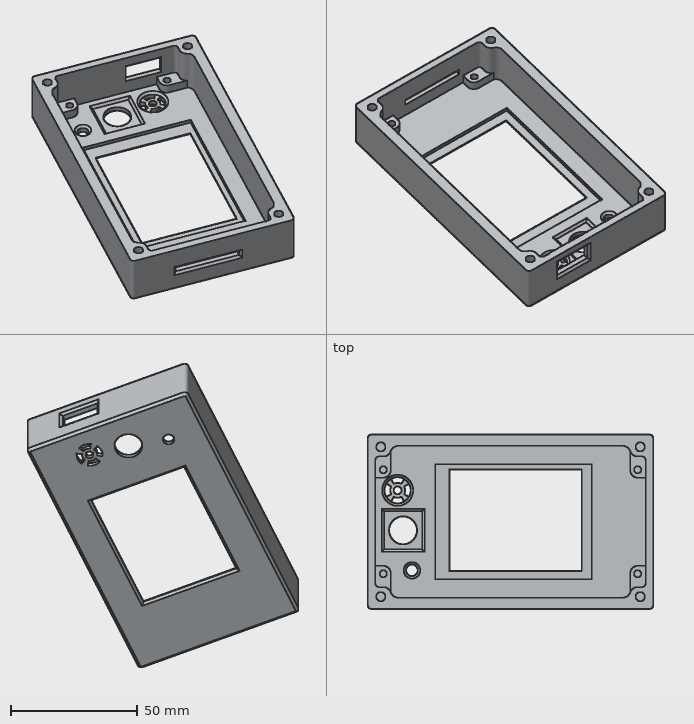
import cadquery as cq
import math

LENGTH = 113.0
WIDTH = 69.0
HEIGHT = 21.7
WALL = 3.0
FLOOR = 3.0
SIDE_WALL = 4.5
CORNER_RADIUS = 1.6
BOTTOM_CHAMFER = 1.1

OPENING_CHAMFER = 1.01
FLARE_BOTTOM = FLOOR - OPENING_CHAMFER

CAVITY_X = LENGTH / 2 - WALL
CAVITY_Y = WIDTH / 2 - SIDE_WALL
POST_STEP = 4.2
POST_Y = CAVITY_Y - POST_STEP
POST_X = 47.3
POST_RADIUS = 3.0
CAVITY_CORNER_RADIUS = 1.5

POST_HOLE_DIAMETER = 3.6
POST_HOLE_X = 51.3
POST_HOLE_Y = 29.6
POST_HOLE_DEPTH = 11.3
STANDOFF_HEIGHT = 4.0
STANDOFF_END_Y = 17.4
STANDOFF_HOLE_DIAMETER = 2.8
STANDOFF_HOLE_X = 50.3
STANDOFF_HOLE_Y = 20.6

SEAT_BOUNDS = (-29.7, 32.1, -22.8, 22.8)
WINDOW_BOUNDS = (-24.1, 28.1, -19.4, 20.6)
SEAT_DEPTH = 1.6

GRILLE_CENTER = (-44.6, 12.4)
GRILLE_DIAMETER = 10.3
GRILLE_HUB_DIAMETER = 6.0
GRILLE_HOLE_DIAMETER = 3.0
GRILLE_SLOT_COUNT = 4
GRILLE_SLOT_ANGLE = 60.0

POCKET_CENTER = (-42.5, -3.4)
POCKET_SIZE = 15.0
POCKET_HOLE_DIAMETER = 11.0

SMALL_HOLE_CENTER = (-39.0, -19.2)
SMALL_HOLE_DIAMETER = 4.5

CONNECTOR_Y = 11.9
CONNECTOR_Z = 13.1
CONNECTOR_WIDTH = 15.0
CONNECTOR_HEIGHT = 8.0
SLOT_Y_MIN = -15.5
SLOT_Y_MAX = 11.3
SLOT_TOP = 11.6
SLOT_HEIGHT = 2.5

SIGNS = [(1, 1), (-1, 1), (-1, -1), (1, -1)]


def box_between(x_min, x_max, y_min, y_max, z_min, z_max):
    size = (x_max - x_min, y_max - y_min, z_max - z_min)
    return cq.Workplane().box(*size, centered=False).translate((x_min, y_min, z_min))


def disc(center, diameter, z_min, z_max):
    base = cq.Workplane().workplane(offset=z_min).center(*center)
    return base.circle(diameter / 2).extrude(z_max - z_min)


def cone_chamfer(center, diameter):
    """45 degree flare of a round opening, widest at the inside of the floor."""
    base = cq.Workplane().workplane(offset=FLOOR).center(*center)
    wide_end = base.circle(diameter / 2 + OPENING_CHAMFER)
    narrow_end = wide_end.workplane(offset=-OPENING_CHAMFER).circle(diameter / 2)
    return narrow_end.loft(ruled=True)


def flared_opening(plane, width, height, depth):
    """Rectangular opening that starts on a plane and ends in a 45 degree flare."""
    flare_width = width + 2 * OPENING_CHAMFER
    flare_height = height + 2 * OPENING_CHAMFER
    straight = plane.rect(width, height).extrude(depth)
    flare = (
        plane.workplane(offset=depth - OPENING_CHAMFER)
        .rect(width, height)
        .workplane(offset=OPENING_CHAMFER)
        .rect(flare_width, flare_height)
        .loft(ruled=True)
    )
    return straight.union(flare)


def shell():
    body = cq.Workplane().box(LENGTH, WIDTH, HEIGHT, centered=(True, True, False))
    body = body.edges("|Z").fillet(CORNER_RADIUS)
    return body.faces("<Z").chamfer(BOTTOM_CHAMFER)


def cavity():
    """Inside of the shell, with an S of two equal tangent arcs at each post."""
    half_step = math.sqrt(POST_RADIUS**2 - (POST_RADIUS - POST_STEP / 2) ** 2)
    mid_y = (CAVITY_Y + POST_Y) / 2
    half_angle = math.atan2(half_step, POST_RADIUS - POST_STEP / 2) / 2
    bow_x = POST_RADIUS * math.sin(half_angle)
    bow_y = POST_RADIUS * (1 - math.cos(half_angle))
    inner_x = POST_X - half_step
    outer_x = POST_X + half_step
    corner_x = CAVITY_X - CAVITY_CORNER_RADIUS
    corner_y = POST_Y - CAVITY_CORNER_RADIUS
    corner_bow = CAVITY_CORNER_RADIUS * math.sqrt(0.5)

    quarter = (
        cq.Workplane()
        .workplane(offset=FLOOR)
        .lineTo(0, CAVITY_Y)
        .lineTo(inner_x, CAVITY_Y)
        .threePointArc((inner_x + bow_x, CAVITY_Y - bow_y), (POST_X, mid_y))
        .threePointArc((outer_x - bow_x, POST_Y + bow_y), (outer_x, POST_Y))
        .lineTo(corner_x, POST_Y)
        .threePointArc((corner_x + corner_bow, corner_y + corner_bow), (CAVITY_X, corner_y))
        .lineTo(CAVITY_X, 0)
        .close()
        .extrude(HEIGHT - FLOOR)
    )
    half = quarter.union(quarter.mirror("YZ"))
    return half.union(half.mirror("XZ")).clean()


def standoff(x_sign, y_sign):
    """Low block in a cavity corner, merged into the end wall and the post."""
    end_x = CAVITY_X + WALL / 2
    end_y = (CAVITY_Y + POST_Y) / 2
    block = box_between(POST_X, end_x, STANDOFF_END_Y, end_y, FLOOR / 2, FLOOR + STANDOFF_HEIGHT)
    block = block.edges("|Z and <X and <Y").fillet(POST_RADIUS)
    if x_sign < 0:
        block = block.mirror("YZ")
    if y_sign < 0:
        block = block.mirror("XZ")
    return block


def corner_holes(x_sign, y_sign):
    post_center = (x_sign * POST_HOLE_X, y_sign * POST_HOLE_Y)
    standoff_center = (x_sign * STANDOFF_HOLE_X, y_sign * STANDOFF_HOLE_Y)
    post_hole = disc(post_center, POST_HOLE_DIAMETER, HEIGHT - POST_HOLE_DEPTH, HEIGHT)
    standoff_top = FLOOR + STANDOFF_HEIGHT
    return post_hole.union(disc(standoff_center, STANDOFF_HOLE_DIAMETER, FLOOR, standoff_top))


def display_opening():
    """Seat cut into the floor and a window below it, flared on the outside."""
    seat_z = FLOOR - SEAT_DEPTH
    seat = box_between(*SEAT_BOUNDS, seat_z, FLOOR)
    x_min, x_max, y_min, y_max = WINDOW_BOUNDS
    center = ((x_min + x_max) / 2, (y_min + y_max) / 2, seat_z)
    facing_down = cq.Plane(origin=center, xDir=(1, 0, 0), normal=(0, 0, -1))
    window = flared_opening(cq.Workplane(facing_down), x_max - x_min, y_max - y_min, seat_z)
    return seat.union(window)


def grille_slots():
    """Centre hole and a ring of equal slots through the base of the recess."""
    openings = disc(GRILLE_CENTER, GRILLE_HOLE_DIAMETER, 0, FLARE_BOTTOM)
    outer = GRILLE_DIAMETER / 2
    inner = GRILLE_HUB_DIAMETER / 2
    half_angle = math.radians(GRILLE_SLOT_ANGLE / 2)
    across = math.sin(half_angle)
    along = math.cos(half_angle)
    slot = (
        cq.Workplane()
        .moveTo(inner * along, -inner * across)
        .lineTo(outer * along, -outer * across)
        .threePointArc((outer, 0), (outer * along, outer * across))
        .lineTo(inner * along, inner * across)
        .threePointArc((inner, 0), (inner * along, -inner * across))
        .close()
        .extrude(FLARE_BOTTOM)
    )
    for index in range(GRILLE_SLOT_COUNT):
        turned = slot.rotate((0, 0, 0), (0, 0, 1), index * 360 / GRILLE_SLOT_COUNT)
        openings = openings.add(turned.translate((*GRILLE_CENTER, 0)))
    return openings.combine()


def square_pocket():
    """Flared square recess with a round hole through its base."""
    base = cq.Workplane().workplane(offset=FLARE_BOTTOM).center(*POCKET_CENTER)
    pocket = flared_opening(base, POCKET_SIZE, POCKET_SIZE, OPENING_CHAMFER)
    return pocket.union(disc(POCKET_CENTER, POCKET_HOLE_DIAMETER, 0, FLARE_BOTTOM))


def small_opening():
    hole = disc(SMALL_HOLE_CENTER, SMALL_HOLE_DIAMETER, 0, FLOOR)
    return hole.union(cone_chamfer(SMALL_HOLE_CENTER, SMALL_HOLE_DIAMETER))


def connector_opening():
    """Rectangular opening through the -X wall, flared on the outside."""
    inner_face = cq.Workplane("ZY", origin=(-CAVITY_X, CONNECTOR_Y, CONNECTOR_Z))
    return flared_opening(inner_face, CONNECTOR_HEIGHT, CONNECTOR_WIDTH, WALL)


def card_slot():
    """Slot through the +X wall, flared on the outside."""
    center_y = (SLOT_Y_MIN + SLOT_Y_MAX) / 2
    center_z = SLOT_TOP - SLOT_HEIGHT / 2
    inner_face = cq.Workplane("YZ", origin=(CAVITY_X, center_y, center_z))
    return flared_opening(inner_face, SLOT_Y_MAX - SLOT_Y_MIN, SLOT_HEIGHT, WALL)


body = shell().cut(cavity())
for x_sign, y_sign in SIGNS:
    body = body.union(standoff(x_sign, y_sign))
for x_sign, y_sign in SIGNS:
    body = body.cut(corner_holes(x_sign, y_sign))
body = body.cut(display_opening())
body = body.cut(cone_chamfer(GRILLE_CENTER, GRILLE_DIAMETER))
body = body.cut(grille_slots())
body = body.cut(square_pocket())
body = body.cut(small_opening())
body = body.cut(connector_opening())
result = body.cut(card_slot())